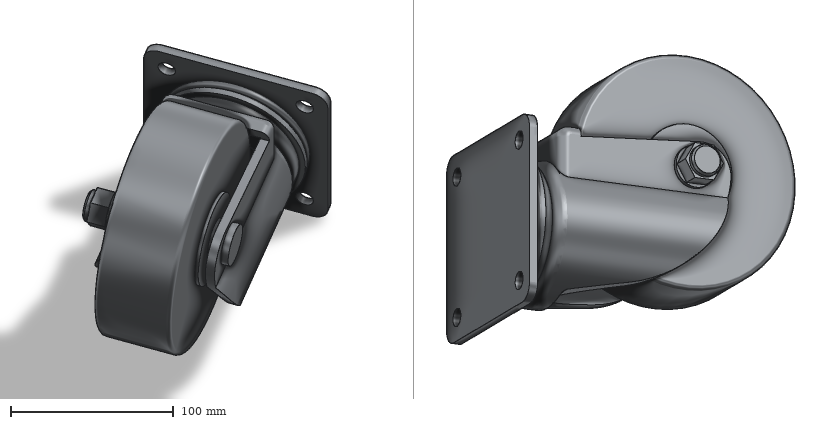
import cadquery as cq
import math


overall_depth = 198

plate_side = 120.0
plate_thickness = 5.5
plate_corner_radius = 10.3
hole_spacing = 89.9
hole_diameter = 11.3

upper_ring_radius = 48.5
upper_ring_crest_depth = 7.3
upper_ring_edge_radius = 48.3
groove_radius = 46.5
groove_depth = 10.0
shoulder_radius = 48.5
shoulder_depth = 11.5
lower_ring_radius = 49.1
lower_ring_flat_depth = 13.0
lower_ring_end_depth = 16.2
bowl_radius = 45.1
bowl_depth = 17.5
bowl_end_radius = 40.2

wall = 6
fork_radius = 46.0
pan_depth = 25.0
pan_rounding = 7.5
arm_outer_x = 36.2
arm_inner_x = arm_outer_x - wall
bridge_top_z = 62.0
bridge_depth = pan_depth + pan_rounding
bridge_end_depth = 46.3
bridge_side_rounding = 6
bridge_back_rounding = 7.3

arm_root_z = 55.5
arm_top_slope = 0.08
arm_tip_radius = 19.8
sweep_radius = 81.2
sweep_center_depth = 67.1
sweep_center_z = 47.3
lower_edge_slope = 0.18
lip_end_depth = 40.2
lip_corner_radius = 3.8

wheel_radius = 75.0
wheel_width = 50.0
wheel_edge_radius = 3.0
axle_depth = overall_depth - wheel_radius
axle_z = 45.0
hub_radius = 30.0
hub_outer_x = 27.3

spacer_radius = 13.9
bolt_radius = 10.0
bolt_end_x = 55.5
bolt_chamfer = 1.4
washer_radius = 13.5
washer_thickness = 3.0
nut_outer_x = 51.3
nut_flats = 22.4
head_thickness = 4.8


def swivel_cylinder(radius, start_depth, end_depth):
    """Solid cylinder on the swivel axis between two depths."""
    plane = cq.Workplane("XZ", origin=(0, -start_depth, 0))
    return plane.circle(radius).extrude(end_depth - start_depth)


def swivel_box(half_width, top_z, start_depth, end_depth):
    """Box centred on X, standing on the swivel axis and reaching up to top_z."""
    size = (2 * half_width, end_depth - start_depth, top_z)
    return cq.Workplane("XY").box(*size, centered=(True, False, False)).translate((0, -end_depth, 0))


def axle_plane(x):
    """YZ workplane centred on the axle at the given X."""
    return cq.Workplane("YZ", origin=(x, -axle_depth, axle_z))


def axle_cylinder(radius, start_x, end_x):
    return axle_plane(start_x).circle(radius).extrude(end_x - start_x)


def make_plate():
    plate = cq.Workplane("XZ").rect(plate_side, plate_side).extrude(plate_thickness)
    plate = plate.edges("|Y").fillet(plate_corner_radius)
    holes = cq.Workplane("XZ").rect(hole_spacing, hole_spacing, forConstruction=True).vertices()
    return plate.cut(holes.circle(hole_diameter / 2).extrude(plate_thickness))


def make_bearing():
    """Turned bearing rings that carry the fork; the bowl curves in to meet it."""
    profile = (
        cq.Workplane("XY")
        .moveTo(0, -plate_thickness)
        .lineTo(upper_ring_edge_radius, -plate_thickness)
        .threePointArc((upper_ring_radius, -upper_ring_crest_depth), (groove_radius, -groove_depth))
        .threePointArc(
            (shoulder_radius, -shoulder_depth),
            (lower_ring_radius, -lower_ring_flat_depth),
        )
        .lineTo(lower_ring_radius, -lower_ring_end_depth)
        .lineTo(bowl_radius, -lower_ring_end_depth)
        .lineTo(bowl_radius, -bowl_depth)
        .tangentArcPoint((bowl_end_radius, -pan_depth), relative=False)
        .lineTo(0, -pan_depth)
        .close()
    )
    return profile.revolve(360, (0, 0, 0), (0, 1, 0))


def make_fork_side_outline():
    """Prism along X that bounds the fork: bridge, arm tip, curved sweep and lip."""
    slope_angle = math.atan(lower_edge_slope)
    tangent_depth = sweep_center_depth + sweep_radius * math.sin(slope_angle)
    tangent_z = sweep_center_z - sweep_radius * math.cos(slope_angle)
    lip_z = tangent_z - lower_edge_slope * (tangent_depth - lip_end_depth)

    edge_angle = math.atan(arm_top_slope)
    edge_z_at_center = arm_root_z + arm_top_slope * (sweep_center_depth - bridge_end_depth)
    edge_offset = (edge_z_at_center - sweep_center_z) * math.cos(edge_angle)
    tip_angle = edge_angle + math.asin(edge_offset / sweep_radius)
    mid_angle = (tip_angle + slope_angle - math.pi / 2) / 2

    def on_sweep(angle):
        depth = sweep_center_depth + sweep_radius * math.cos(angle)
        return (-depth, sweep_center_z + sweep_radius * math.sin(angle))

    tip = on_sweep(tip_angle)
    half_width = fork_radius + wall
    prism = (
        cq.Workplane("YZ", origin=(-half_width, 0, 0))
        .moveTo(-pan_depth, bridge_top_z)
        .lineTo(-bridge_end_depth, bridge_top_z)
        .lineTo(-bridge_end_depth, arm_root_z)
        .lineTo(*tip)
        .threePointArc(on_sweep(mid_angle), (-tangent_depth, tangent_z))
        .lineTo(-lip_end_depth, lip_z)
        .lineTo(-lip_end_depth, -fork_radius)
        .lineTo(-pan_depth, -fork_radius)
        .close()
        .extrude(2 * half_width)
    )
    prism = prism.edges(cq.NearestToPointSelector((0, *tip))).fillet(arm_tip_radius)
    return prism.edges(cq.NearestToPointSelector((0, -lip_end_depth, lip_z))).fillet(lip_corner_radius)


def make_fork():
    """Tubular fork with flat arms, closed by the pan and by a rounded bridge on top."""
    beyond_arms = overall_depth
    beyond_top = bridge_top_z + wall

    pan = swivel_cylinder(fork_radius, pan_depth, beyond_arms).faces(">Y").edges().fillet(pan_rounding)
    bridge = swivel_box(arm_outer_x, bridge_top_z, bridge_depth, bridge_end_depth)
    bridge = bridge.edges(">Y and >Z").fillet(bridge_back_rounding)
    bridge = bridge.faces("<X or >X").edges("not (<Y or <Z)").fillet(bridge_side_rounding)
    arms = swivel_box(arm_outer_x, beyond_top, bridge_end_depth, beyond_arms)
    body = pan.union(bridge).union(arms).intersect(make_fork_side_outline())

    bore = swivel_cylinder(fork_radius - wall, pan_depth + wall, beyond_arms)
    bridge_hollow = swivel_box(arm_inner_x, bridge_top_z - wall, bridge_depth + wall, beyond_arms)
    arm_gap = swivel_box(arm_inner_x, beyond_top, bridge_end_depth, beyond_arms)
    return body.cut(bore).cut(bridge_hollow).cut(arm_gap)


def make_wheel():
    tread = axle_cylinder(wheel_radius, -wheel_width / 2, wheel_width / 2)
    tread = tread.edges().fillet(wheel_edge_radius)
    hub = axle_cylinder(hub_radius, -hub_outer_x, hub_outer_x)
    spacer = axle_cylinder(spacer_radius, -arm_inner_x, arm_inner_x)
    return tread.union(hub).union(spacer)


def make_bolt():
    """Bolt with a round head on +X and a washer and hexagon nut on -X."""
    washer_outer_x = arm_outer_x + washer_thickness
    shank = axle_cylinder(bolt_radius, -bolt_end_x, arm_outer_x).faces("<X").chamfer(bolt_chamfer)
    head = axle_cylinder(washer_radius, arm_inner_x, arm_outer_x + head_thickness)
    washer = axle_cylinder(washer_radius, -washer_outer_x, -arm_inner_x)
    nut_corners = nut_flats / math.cos(math.pi / 6)
    nut = axle_plane(-nut_outer_x).polygon(6, nut_corners).extrude(nut_outer_x - arm_outer_x)
    return shank.union(head).union(washer).union(nut)


result = make_plate().union(make_bearing()).union(make_fork()).union(make_wheel()).union(make_bolt())